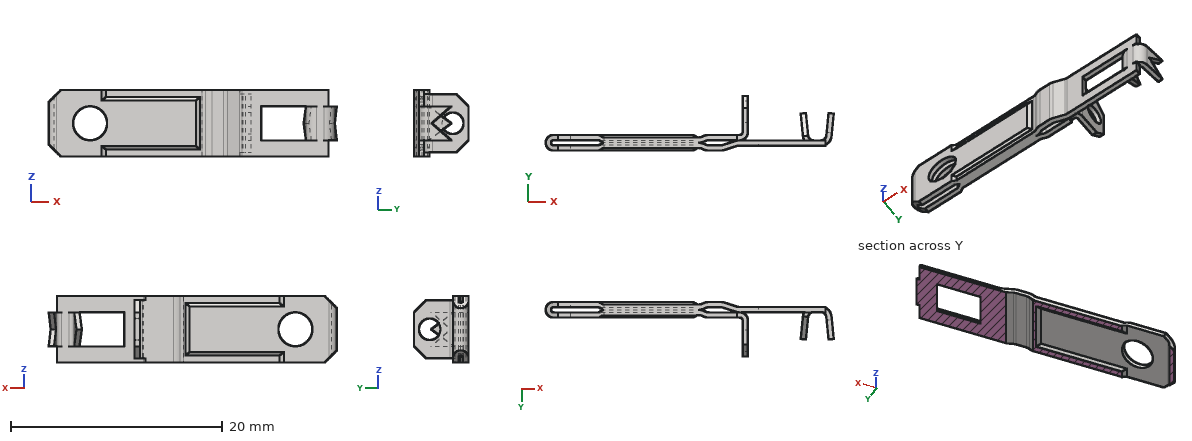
import cadquery as cq
import math

thickness = 0.52
length = 27.32
width = 6.35
fold_depth = 1.5
height = 5.2
gap = fold_depth - 2 * thickness
mid_y = fold_depth / 2

corner_chamfer = 1.17
eye_x = 3.93
eye_diameter = 3.2

pinch_start = 5.03
pinch_ramp = 0.4
pinch_end = 14.53
pinch_depth = gap / 2
pad_end = 14.37
pad_edge_margin = 0.68
pad_side_slope = 0.33
pad_end_slope = 0.4

wave_radius = 0.75
wave_crest_end = 16.58
wave_ramp_angle = 18.0

tab_neck_x = 18.15
tab_face_x = 19.18
tab_width = 5.52
tab_radius = 0.25
tab_chamfer = 1.15
tab_hole_y = 3.7
tab_hole_diameter = 2.02

plate_end = 26.53
plate_y = gap
window_start = 20.15
window_end = 25.38
prong_width = 3.22
prong_radius = 0.5
prong_bend_angle = 84.3
blade_length = 2.15
notch_depth = 1.85


class Ribbon:
    """Edge-on outline of a sheet, grown from one end by slides and bends."""

    def __init__(self, start, heading):
        x, y = start
        self.heading = math.radians(heading)
        left = (
            x - thickness * math.sin(self.heading),
            y + thickness * math.cos(self.heading),
        )
        self.right_edge = [(start,)]
        self.left_edge = [(left,)]

    def slide(self, dx, dy=0.0):
        """Carry both faces along by the same step."""
        for edge in (self.left_edge, self.right_edge):
            x, y = edge[-1][-1]
            edge.append(((x + dx, y + dy),))

    def forward(self, distance):
        self.slide(distance * math.cos(self.heading), distance * math.sin(self.heading))

    def bend(self, inner_radius, angle):
        """Turn left for a positive angle, right for a negative one."""
        turn = math.radians(angle)
        side = math.copysign(1, angle)
        inner_edge = self.left_edge if angle > 0 else self.right_edge
        for edge in (self.left_edge, self.right_edge):
            radius = inner_radius if edge is inner_edge else inner_radius + thickness
            x, y = edge[-1][-1]
            center_x = x - side * radius * math.sin(self.heading)
            center_y = y + side * radius * math.cos(self.heading)
            arc = []
            for direction in (self.heading + turn / 2, self.heading + turn):
                arc.append((
                    center_x + side * radius * math.sin(direction),
                    center_y - side * radius * math.cos(direction),
                ))
            edge.append(tuple(arc))
        self.heading += turn

    def right_end(self):
        return self.right_edge[-1][-1]

    def solid(self, across):
        """Close the outline and extrude it symmetrically across the given width."""
        sketch = cq.Workplane("XY").moveTo(*self.right_edge[0][0])
        for step in self.right_edge[1:]:
            sketch = draw_step(sketch, step)
        sketch = sketch.lineTo(*self.left_edge[-1][-1])
        for i in range(len(self.left_edge) - 1, 0, -1):
            back_step = self.left_edge[i][:-1] + self.left_edge[i - 1][-1:]
            sketch = draw_step(sketch, back_step)
        return sketch.close().extrude(across / 2, both=True)


def draw_step(sketch, step):
    if len(step) == 2:
        return sketch.threePointArc(*step)
    return sketch.lineTo(*step[0])


def box(x_range, y_range, across):
    """Box centred on Z."""
    dx = x_range[1] - x_range[0]
    dy = y_range[1] - y_range[0]
    return cq.Workplane("XY").box(dx, dy, across, centered=(False, False, True)).translate(
        (x_range[0], y_range[0], 0)
    )


def mirror_layer(body):
    """Swap front and rear layers."""
    return body.mirror("XZ", (0, mid_y, 0))


def layer_start():
    """Front layer from the apex of the fold to the crest of the wave."""
    ribbon = Ribbon((0, mid_y), -90)
    ribbon.bend(gap / 2, 90)
    ribbon.slide(pinch_start - ribbon.right_end()[0])
    ribbon.slide(pinch_ramp, pinch_depth)
    ribbon.slide(pinch_end - pinch_start - pinch_ramp)
    wave_angle = math.degrees(math.acos(1 - pinch_depth / (2 * wave_radius + thickness)))
    ribbon.bend(wave_radius, -wave_angle)
    ribbon.bend(wave_radius, wave_angle)
    return ribbon


def front_layer():
    ribbon = layer_start()
    ribbon.slide(wave_crest_end - ribbon.right_end()[0])
    angle = math.radians(wave_ramp_angle)
    bends_rise = (2 * wave_radius + thickness) * (1 - math.cos(angle))
    ribbon.bend(wave_radius, wave_ramp_angle)
    ribbon.forward((plate_y - bends_rise) / math.sin(angle))
    ribbon.bend(wave_radius, -wave_ramp_angle)
    ribbon.slide(plate_end - ribbon.right_end()[0])
    return ribbon.solid(width)


def rear_layer():
    """Built in the front position, then mirrored, so its tab first points to -Y."""
    ribbon = layer_start()
    bend_start = tab_face_x - thickness - tab_radius
    ribbon.slide(bend_start - ribbon.right_end()[0])
    ribbon.bend(tab_radius, -90)
    ribbon.slide(0, fold_depth - height - ribbon.right_end()[1])
    layer = mirror_layer(ribbon.solid(width))

    neck = box((tab_neck_x, tab_face_x), (0, height), width)
    tab_outline = (
        box((tab_neck_x, tab_face_x), (0, height), tab_width)
        .faces(">Y").edges("|X").chamfer(tab_chamfer)
    )
    hole = (
        cq.Workplane("YZ", origin=(tab_neck_x, tab_hole_y, 0))
        .circle(tab_hole_diameter / 2).extrude(tab_face_x - tab_neck_x)
    )
    return layer.cut(neck.cut(tab_outline)).cut(hole)


def pad_block(base_y):
    """Block rising from base_y toward -Y, sloped on three sides and upright at the fold side."""
    base_half = width / 2 - pad_edge_margin
    top_half = base_half - pad_side_slope
    top_end = pad_end - pad_end_slope
    return (
        cq.Workplane("XZ", origin=(0, base_y, 0))
        .polyline(rectangle(pinch_start, pad_end, base_half)).close()
        .workplane(offset=pinch_depth)
        .polyline(rectangle(pinch_start, top_end, top_half)).close()
        .loft(ruled=True)
    )


def rectangle(x_start, x_end, half_width):
    return [
        (x_start, -half_width), (x_end, -half_width),
        (x_end, half_width), (x_start, half_width),
    ]


def add_pad(body):
    """Emboss the pad on both faces, hollow inside by one sheet thickness."""
    pad = pad_block(pinch_depth)
    hollow = pad_block(pinch_depth + thickness)
    body = body.union(pad).union(mirror_layer(pad))
    return body.cut(hollow).cut(mirror_layer(hollow))


def prong_root(bend_x):
    """Strip leaving the plate at bend_x toward +X and curling up to +Y."""
    ribbon = Ribbon((bend_x, plate_y), 0)
    ribbon.bend(prong_radius, prong_bend_angle)
    return ribbon


def add_blade(root, outline):
    """Continue the curled strip as a flat blade; outline points are (Z, distance along the strip)."""
    along = (math.cos(root.heading), math.sin(root.heading), 0)
    x, y = root.right_end()
    blade_plane = cq.Plane(origin=(x, y, 0), xDir=(0, 0, 1), normal=(-along[1], along[0], 0))
    blade = cq.Workplane(blade_plane).polyline(outline).close().extrude(thickness)
    return root.solid(prong_width).union(blade)


def pointed_prong():
    """Curls back over the window and ends in a point."""
    half = prong_width / 2
    triangle = [(-half, 0), (0, blade_length), (half, 0)]
    prong = add_blade(prong_root(window_end), triangle)
    return prong.mirror("YZ", (window_end, 0, 0))


def forked_prong():
    """Curls up beyond the plate end and carries a V notch, leaving a horn on each side."""
    half = prong_width / 2
    notched_blade = [
        (-half, 0), (-half, blade_length), (0, blade_length - notch_depth),
        (half, blade_length), (half, 0),
    ]
    return add_blade(prong_root(fork_bend_x), notched_blade)


fork_bend_x = (
    length
    - (prong_radius + thickness) * math.sin(math.radians(prong_bend_angle))
    - blade_length * math.cos(math.radians(prong_bend_angle))
)

body = add_pad(front_layer().union(rear_layer()))

for z_side in (-1, 1):
    corner = (
        cq.Workplane("XZ")
        .polyline([
            (0, z_side * width / 2),
            (corner_chamfer, z_side * width / 2),
            (0, z_side * (width / 2 - corner_chamfer)),
        ]).close().extrude(-fold_depth)
    )
    body = body.cut(corner)
eye = cq.Workplane("XZ").center(eye_x, 0).circle(eye_diameter / 2).extrude(-fold_depth)
body = body.cut(eye)

body = body.cut(box((window_start, window_end), (0, fold_depth), prong_width))
body = body.cut(box((fork_bend_x, length), (0, fold_depth), prong_width))
result = body.union(pointed_prong()).union(forked_prong())